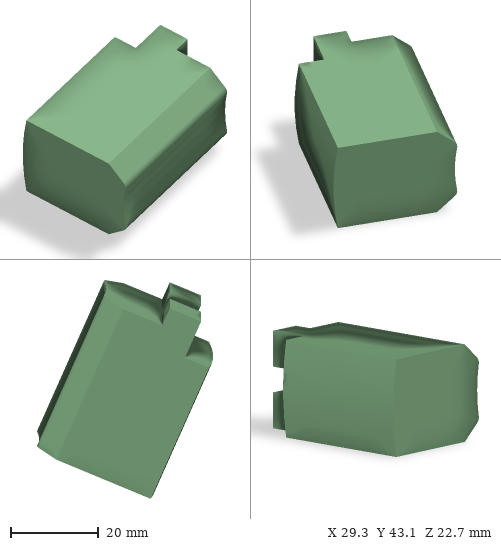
import cadquery as cq

length = 43.1
height = 22.7
half_height = height / 2

left_bulge = 1.05
bevel_start = 24.5
nose_x = 29.45
nose_half_height = 7.0
hollow_x = 28.7
nose_radius = 1.72

left_shoulder = 33.75
right_shoulder = 38.75
tongue_left = 7.03
tongue_right = 14.83
slot_height = 6.0


def make_body():
    """Extrude the cross-section along Y and round the two nose edges."""
    section = (
        cq.Workplane("XZ")
        .moveTo(left_bulge, half_height)
        .lineTo(bevel_start, half_height)
        .lineTo(nose_x, nose_half_height)
        .threePointArc((hollow_x, 0), (nose_x, -nose_half_height))
        .lineTo(bevel_start, -half_height)
        .lineTo(left_bulge, -half_height)
        .threePointArc((0, 0), (left_bulge, half_height))
        .close()
    )
    body = section.extrude(-length)
    return body.edges("|Y").edges(">X").fillet(nose_radius)


def end_cut(x_start, x_end, y_start, cut_height):
    """Block that removes material from y_start to the +Y end."""
    return (
        cq.Workplane("XY")
        .box(x_end - x_start, length - y_start, cut_height, centered=(False, False, True))
        .translate((x_start, y_start, 0))
    )


result = (
    make_body()
    .cut(end_cut(0, tongue_left, left_shoulder, height))
    .cut(end_cut(tongue_right, nose_x, right_shoulder, height))
    .cut(end_cut(tongue_left, tongue_right, right_shoulder, slot_height))
)